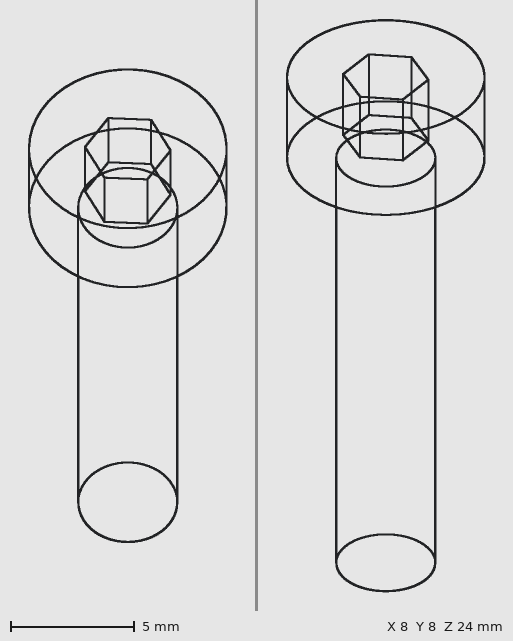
import cadquery as cq
import math

total_length = 24.0
shank_diameter = 4.0
head_diameter = 8.0
head_height = shank_diameter
socket_across_flats = 3.0
socket_depth = socket_across_flats

shank_length = total_length - head_height
socket_across_corners = socket_across_flats / math.cos(math.pi / 6)

shank = cq.Workplane("XY").circle(shank_diameter / 2).extrude(shank_length)

head = (
    cq.Workplane("XY")
    .workplane(offset=shank_length)
    .circle(head_diameter / 2)
    .extrude(head_height)
)

socket = (
    cq.Workplane("XY")
    .workplane(offset=total_length)
    .transformed(rotate=(0, 0, 90))
    .polygon(6, socket_across_corners)
    .extrude(-socket_depth)
)

result = shank.union(head).cut(socket)